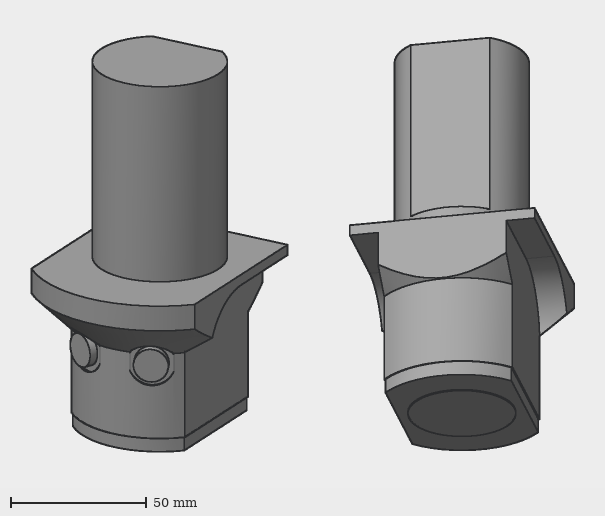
import cadquery as cq
import math

TOTAL_HEIGHT = 143.0
COVER_TOP_Z = 5.9
FLANGE_LOWER_Z = 55.2
FLANGE_TOP_Z = 65.0
SHANK_FLAT_START_Z = 73.0

SHANK_DIAMETER = 50.0
SHANK_FLAT_Y = 20.0

FLANGE_WIDTH = 70.0
FLANGE_DEPTH = 83.0
FLANGE_RADIUS = 49.0

NECK_RADIUS = 33.6
NECK_WIDTH = 48.6
CONE_LOWER_Z = FLANGE_LOWER_Z - (FLANGE_RADIUS - NECK_RADIUS)

RELIEF_TOP_Z = 60.9
RELIEF_CORNER_RADIUS = 23.6
RELIEF_FRONT_Y = -RELIEF_CORNER_RADIUS

STUD_DIAMETER = 13.0
STUD_ANGLE = 25.0
STUD_Z = 35.9
STUD_END_RADIUS = 35.9
SPOT_FACE_DIAMETER = 17.7
SPOT_FACE_RADIUS = 32.6

COVER_INSET = 0.5
COVER_BOSS_DIAMETER = 40.0
COVER_BOSS_HEIGHT = 0.5


def flatted_disc(radius, width, bottom_z, top_z):
    """Disc on the Z axis with flats parallel to YZ on both sides."""
    height = top_z - bottom_z
    disc = cq.Workplane("XY").workplane(offset=bottom_z).circle(radius).extrude(height)
    limits = cq.Workplane("XY").workplane(offset=bottom_z).rect(width, 2 * radius).extrude(height)
    return disc.intersect(limits)


def make_turned_body():
    """Neck, cone and flange turned in one profile about the Z axis."""
    return (
        cq.Workplane("XZ")
        .moveTo(0, COVER_TOP_Z)
        .lineTo(NECK_RADIUS, COVER_TOP_Z)
        .lineTo(NECK_RADIUS, CONE_LOWER_Z)
        .lineTo(FLANGE_RADIUS, FLANGE_LOWER_Z)
        .lineTo(FLANGE_RADIUS, FLANGE_TOP_Z)
        .lineTo(0, FLANGE_TOP_Z)
        .close()
        .revolve(360, (0, 0), (0, 1))
    )


def make_envelope():
    """Rectangular block that trims the sides and back of the flange."""
    envelope = cq.Workplane("XY").box(FLANGE_WIDTH, FLANGE_DEPTH, FLANGE_TOP_Z, centered=(True, False, False))
    return envelope.translate((0, -FLANGE_RADIUS, 0))


def make_side_relief(side):
    """Cutter that forms one neck flat, with a rounded upper front corner."""
    relief_width = FLANGE_WIDTH / 2
    cutter = cq.Workplane("XY").box(
        relief_width,
        FLANGE_DEPTH,
        RELIEF_TOP_Z,
        centered=(True, False, False),
    )
    cutter = cutter.edges("<Y and >Z").fillet(RELIEF_CORNER_RADIUS)
    return cutter.translate((side * (NECK_WIDTH + relief_width) / 2, RELIEF_FRONT_Y, 0))


def make_shank():
    """Round shank with a flat at the back, ending above the flange."""
    shank = (
        cq.Workplane("XY")
        .workplane(offset=FLANGE_TOP_Z)
        .circle(SHANK_DIAMETER / 2)
        .extrude(TOTAL_HEIGHT - FLANGE_TOP_Z)
    )
    flat = cq.Workplane("XY").box(
        SHANK_DIAMETER,
        SHANK_DIAMETER,
        TOTAL_HEIGHT - SHANK_FLAT_START_Z,
        centered=(True, False, False),
    )
    return shank.cut(flat.translate((0, SHANK_FLAT_Y, SHANK_FLAT_START_Z)))


def radial_cylinder(diameter, inner_radius, outer_radius, side):
    """Horizontal cylinder pointing away from the Z axis, to one side of -Y."""
    angle = math.radians(STUD_ANGLE)
    direction = cq.Vector(side * math.sin(angle), -math.cos(angle), 0)
    start = direction * inner_radius + cq.Vector(0, 0, STUD_Z)
    face = cq.Workplane(cq.Plane(start, cq.Vector(0, 0, 1), direction))
    return face.circle(diameter / 2).extrude(outer_radius - inner_radius)


def make_holder():
    """Shank, flange, neck and the two studs in one piece."""
    holder = make_turned_body().intersect(make_envelope())
    for side in (-1, 1):
        holder = holder.cut(make_side_relief(side))
    for side in (-1, 1):
        holder = holder.cut(radial_cylinder(SPOT_FACE_DIAMETER, SPOT_FACE_RADIUS, FLANGE_RADIUS, side))
        holder = holder.union(radial_cylinder(STUD_DIAMETER, SPOT_FACE_RADIUS, STUD_END_RADIUS, side))
    return holder.union(make_shank())


def make_cover():
    """Bottom cover plate with a shallow round boss underneath."""
    plate = flatted_disc(
        NECK_RADIUS - COVER_INSET,
        NECK_WIDTH - 2 * COVER_INSET,
        COVER_BOSS_HEIGHT,
        COVER_TOP_Z,
    )
    boss = cq.Workplane("XY").circle(COVER_BOSS_DIAMETER / 2).extrude(COVER_BOSS_HEIGHT)
    return plate.union(boss)


holder = make_holder()
cover = make_cover()

result = cq.Compound.makeCompound([holder.solids().val(), cover.solids().val()])